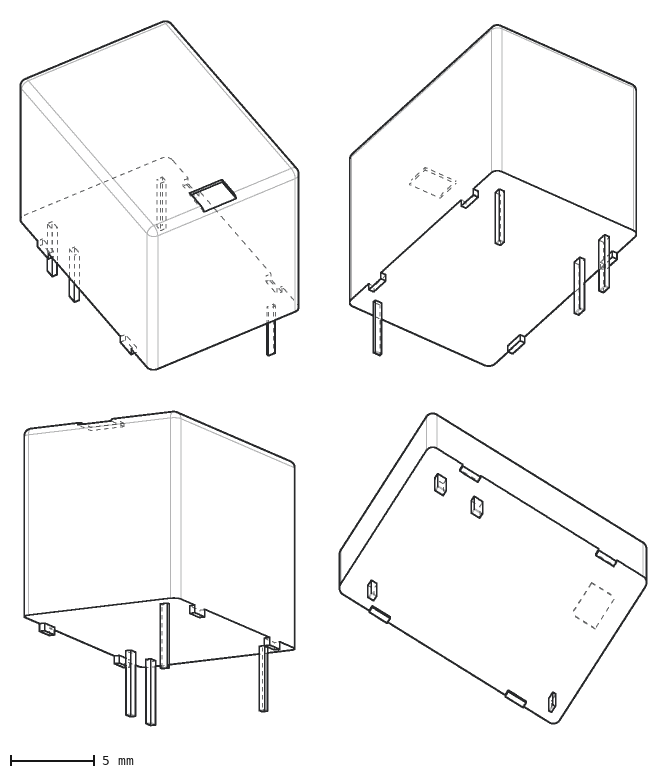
import cadquery as cq

body_length = 15.5
body_width = 10.51
overall_height = 15.5
pin_length = 3.95
body_height = overall_height - pin_length
edge_radius = 0.46

notch_length = 1.74
notch_width = 2.25
notch_depth = 0.2
notch_center_y = -0.37

tab_length = 1.27
tab_thickness = 0.35
tab_height = 0.46
tab_offset_x = 4.8

pin_row_y = 3.81
rear_pin_y = 3.8
contact_pin_x = -6.12
second_contact_pin_x = -3.55
far_pin_x = 6.59
contact_pin_size = (0.6, 0.34)
rear_pin_size = (0.4, 0.37)
far_pin_size = (0.2, 0.48)
pin_tip_radius = 0.05


def block(size_x, size_y, bottom, top, x, y):
    """Upright box centred at (x, y), from Z = bottom to Z = top."""
    return (
        cq.Workplane("XY", origin=(x, y, bottom))
        .rect(size_x, size_y)
        .extrude(top - bottom)
    )


def make_housing():
    housing = block(body_length, body_width, 0, body_height, 0, 0)
    return housing.edges("|Z or >Z").fillet(edge_radius)


def make_notch():
    notch_center_x = (body_length - notch_length) / 2
    notch_floor = body_height - notch_depth
    return block(notch_length, notch_width, notch_floor, body_height, notch_center_x, notch_center_y)


def make_tab(x, side):
    y = side * (body_width - tab_thickness) / 2
    return block(tab_length, tab_thickness, -tab_height, 0, x, y)


def make_pin(x, y, size):
    pin = block(*size, -pin_length, 0, x, y)
    return pin.faces("<Z").edges().fillet(pin_tip_radius)


result = make_housing().cut(make_notch())

for side in (-1, 1):
    for tab_x in (-tab_offset_x, tab_offset_x):
        result = result.union(make_tab(tab_x, side))

pins = [
    (contact_pin_x, -pin_row_y, contact_pin_size),
    (second_contact_pin_x, -pin_row_y, contact_pin_size),
    (contact_pin_x, rear_pin_y, rear_pin_size),
    (far_pin_x, pin_row_y, far_pin_size),
]
for pin_x, pin_y, pin_size in pins:
    result = result.union(make_pin(pin_x, pin_y, pin_size))